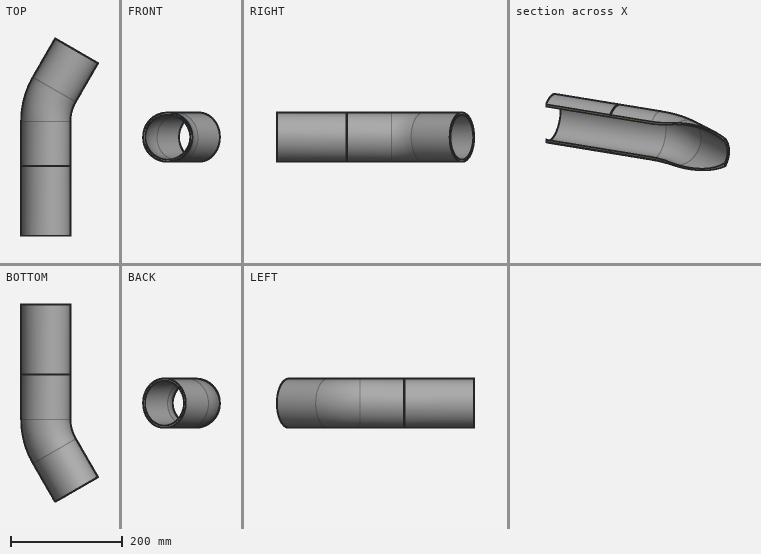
import cadquery as cq
import math

overall_length = 354
outer_diameter = 89.0
wall = 4.2
collar_length = 80.0
outlet_length = 80.0
bend_radius = 114.0
bend_angle = 30

groove_width = 1.0
groove_depth = 0.7

outer_radius = outer_diameter / 2
turn = math.radians(bend_angle)
bend_end_x = bend_radius * (1 - math.cos(turn))
bend_rise = bend_radius * math.sin(turn)
outlet_rise = outlet_length * math.cos(turn) + outer_radius * math.sin(turn)

bend_start = overall_length - bend_rise - outlet_rise
inlet_length = bend_start - collar_length
bend_end_y = bend_start + bend_rise
outlet_direction = (math.sin(turn), math.cos(turn), 0)


def cylinder_along(radius, length, base, direction):
    """Solid cylinder starting at base and running along direction."""
    return cq.Workplane(
        cq.Solid.makeCylinder(radius, length, cq.Vector(*base), cq.Vector(*direction))
    )


def elbow_rod(radius):
    """Solid rod: straight along +Y, bent toward +X, then straight again."""
    straight = cylinder_along(radius, bend_start, (0, 0, 0), (0, 1, 0))
    bend = (
        cq.Workplane("XZ", origin=(0, bend_start, 0))
        .circle(radius)
        .revolve(bend_angle, (bend_radius, 3.5), (bend_radius, 0))
    )
    outlet = cylinder_along(radius, outlet_length, (bend_end_x, bend_end_y, 0), outlet_direction)
    return straight.union(bend).union(outlet)


def joint_groove():
    """Ring removed from the outside of the pipe at the joint."""
    base = (0, inlet_length - groove_width / 2, 0)
    disc = cylinder_along(outer_radius, groove_width, base, (0, 1, 0))
    core = cylinder_along(outer_radius - groove_depth, groove_width, base, (0, 1, 0))
    return disc.cut(core)


result = elbow_rod(outer_radius).cut(elbow_rod(outer_radius - wall)).cut(joint_groove())